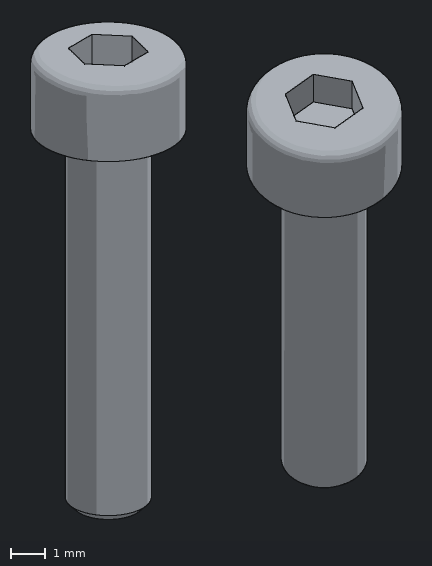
import cadquery as cq
import math

total_length = 14.5
head_diameter = 4.5
head_height = 2.5
head_edge_radius = 0.45
shank_diameter = 2.5
shank_length = total_length - head_height
tip_chamfer = 0.25
socket_across_flats = 2.0
socket_depth = 1.1

head = (
    cq.Workplane("XY")
    .circle(head_diameter / 2)
    .extrude(head_height)
    .faces(">Z")
    .edges()
    .fillet(head_edge_radius)
)

shank = (
    cq.Workplane("XY")
    .circle(shank_diameter / 2)
    .extrude(-shank_length)
    .faces("<Z")
    .edges()
    .chamfer(tip_chamfer)
)

socket_across_corners = socket_across_flats / math.cos(math.pi / 6)
socket = (
    cq.Workplane("XY")
    .workplane(offset=head_height - socket_depth)
    .polygon(6, socket_across_corners)
    .extrude(socket_depth)
)

result = head.union(shank).cut(socket)